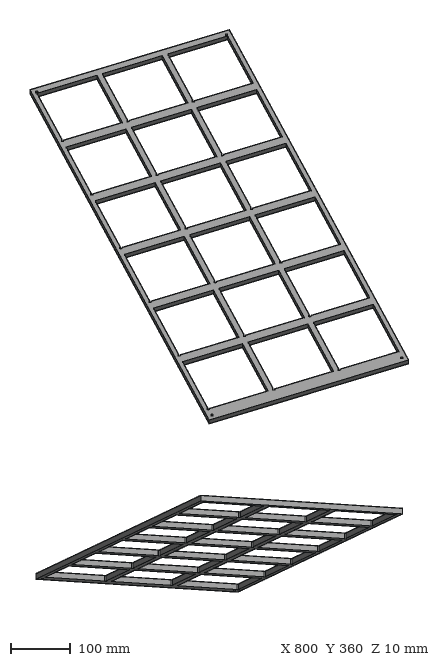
import cadquery as cq

length = 800.0
width = 360.0
thickness = 10.0

columns = 6
rows = 3
left_border = 12.0
right_border = 24.0
front_border = 8.0
cross_bar = 16.0
window_width = 108.0
window_length = (length - left_border - right_border - (columns - 1) * cross_bar) / columns
long_bar = (width - 2 * front_border - rows * window_width) / (rows - 1)
pitch_x = window_length + cross_bar
pitch_y = window_width + long_bar

hole_diameter = 3.9
mount_inset = 9.0

x_min = -length / 2
y_min = -width / 2


def window_origins():
    """Front-left corner of every window."""
    return [
        (x_min + left_border + column * pitch_x, y_min + front_border + row * pitch_y)
        for column in range(columns)
        for row in range(rows)
    ]


def windows():
    """Rectangular cutters for the open cells."""
    return (
        cq.Workplane("XY")
        .pushPoints(window_origins())
        .rect(window_length, window_width, centered=False)
        .extrude(thickness)
    )


def corner_reliefs():
    """Round cutters on the front-right corner of every window."""
    corners = [(x + window_length, y) for x, y in window_origins()]
    return cq.Workplane("XY").pushPoints(corners).circle(hole_diameter / 2).extrude(thickness)


def mounting_holes():
    """Round cutters near the four outer corners."""
    return (
        cq.Workplane("XY")
        .rect(length - 2 * mount_inset, width - 2 * mount_inset, forConstruction=True)
        .vertices()
        .circle(hole_diameter / 2)
        .extrude(thickness)
    )


plate = cq.Workplane("XY").box(length, width, thickness, centered=(True, True, False))
result = plate.cut(windows()).cut(corner_reliefs()).cut(mounting_holes())